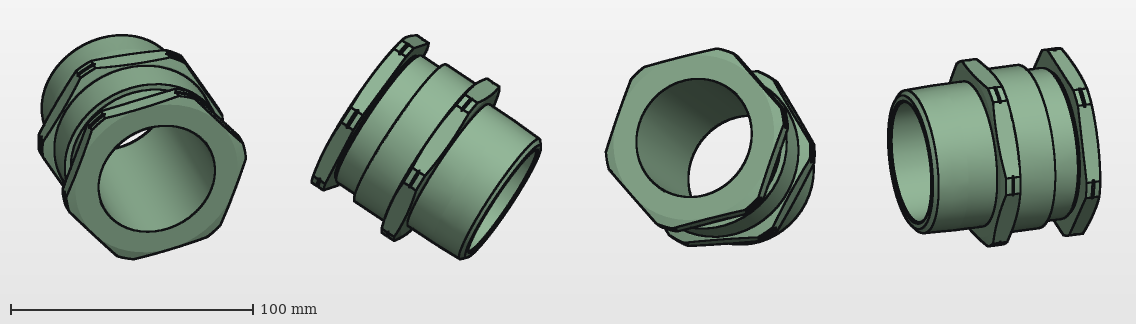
import cadquery as cq
import math

total_length = 70.5
lead_in_end = 1.8
taper_end = 14.8
body_hex_start = 27.3
body_hex_end = 35.65
collar_end = 51.4
sleeve_end = 62.6
cap_hex_start = 63.55

lead_in_radius = 27.9
taper_start_radius = 29.85
thread_radius = 30.3
collar_radius = 34.1
sleeve_radius = 31.55
sleeve_round = 1.2
neck_radius = 30.2
bore_radius = 25.0
bore_chamfer = 0.6

hex_across_flats = 70.5
corner_radius = 38.75
hex_face_radius = 34.9
face_chamfer = 0.9
body_back_chamfer = 1.2
cap_hex_turn = 10.0

groove_depth = 0.3
body_groove_width = 0.7
body_groove_center = 31.3
cap_groove_width = 0.9
cap_groove_center = 66.5


def revolve_profile(profile):
    """Close a profile of (x, radius) points and turn it about the X axis."""
    return profile.close().revolve(360, (0, 0, 0), (1, 0, 0))


def turned(points):
    return revolve_profile(cq.Workplane("XY").polyline(points))


def chamfered_hexagon(start, end, start_chamfer, end_chamfer):
    """Hexagon with flats facing +Z and -Z, its corners rounded and chamfered."""
    diameter = hex_across_flats / math.cos(math.radians(30))
    prism = cq.Workplane("YZ").workplane(offset=start).polygon(6, diameter).extrude(end - start)
    points = [(start, 0)]
    if start_chamfer > 0:
        points += [(start, hex_face_radius)]
    points += [(start + start_chamfer, corner_radius)]
    points += [(end - end_chamfer, corner_radius), (end, hex_face_radius), (end, 0)]
    return prism.intersect(turned(points))


def vee_groove(center, width):
    half = width / 2
    floor = corner_radius - groove_depth
    return turned([(center - half, corner_radius), (center, floor), (center + half, corner_radius)])


def round_groove(center, width):
    half = width / 2
    floor = corner_radius - groove_depth
    profile = cq.Workplane("XY").moveTo(center - half, corner_radius)
    return revolve_profile(profile.threePointArc((center, floor), (center + half, corner_radius)))


arc_offset = sleeve_round * math.sin(math.radians(45))
round_start = sleeve_end - sleeve_round
round_center_radius = sleeve_radius - sleeve_round
body = revolve_profile(
    cq.Workplane("XY")
    .polyline([
        (0, 0),
        (0, lead_in_radius),
        (lead_in_end, taper_start_radius),
        (taper_end, thread_radius),
        (body_hex_start, thread_radius),
        (body_hex_start, collar_radius),
        (collar_end, collar_radius),
        (collar_end, sleeve_radius),
        (round_start, sleeve_radius),
    ])
    .threePointArc(
        (round_start + arc_offset, round_center_radius + arc_offset),
        (sleeve_end, round_center_radius),
    )
    .lineTo(sleeve_end, neck_radius)
    .lineTo(cap_hex_start, neck_radius)
    .lineTo(cap_hex_start, 0)
)

body_hex = chamfered_hexagon(body_hex_start, body_hex_end, face_chamfer, body_back_chamfer)
body_hex = body_hex.cut(vee_groove(body_groove_center, body_groove_width))

cap_hex = chamfered_hexagon(cap_hex_start, total_length, 0, face_chamfer)
cap_hex = cap_hex.rotate((0, 0, 0), (1, 0, 0), cap_hex_turn)
cap_hex = cap_hex.cut(round_groove(cap_groove_center, cap_groove_width))

bore = turned([
    (0, 0),
    (0, bore_radius + bore_chamfer),
    (bore_chamfer, bore_radius),
    (total_length, bore_radius),
    (total_length, 0),
])

result = body.union(body_hex).union(cap_hex).cut(bore)